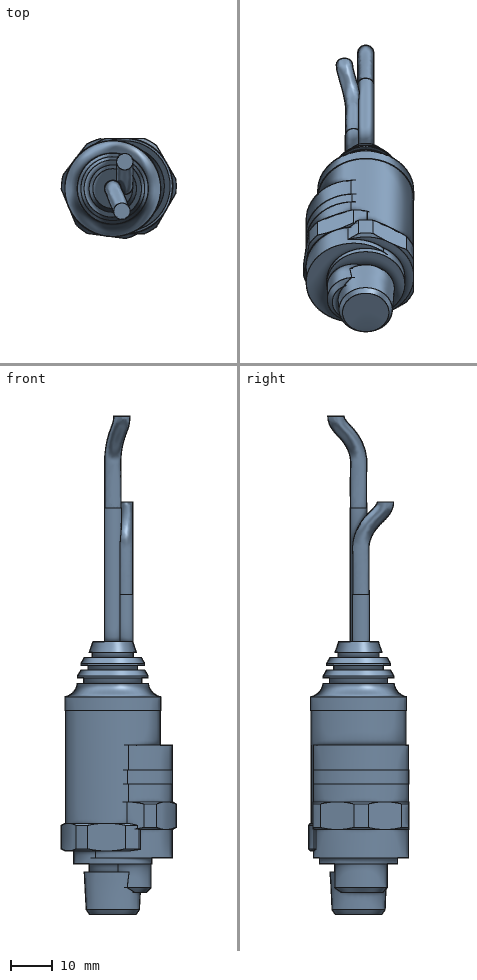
import cadquery as cq
import math

SHORT_X = 2.9
SHORT_Y = 0.6

HEX_FLATS = 23.0
HEX_ROUND = 24.8
HEX_HEIGHT = 6.6
HEX_CHAMFER = 0.5
HEX_CHAMFER_WIDTH = 0.8
TALL_HEX_ANGLE = 22.5
SHORT_HEX_ANGLE = 30.0

FOOT_CHAMFER_D = 11.1
FOOT_CHAMFER = 1.2
THREAD_FOOT_D = 12.8
THREAD_TOP_D = 13.8
THREAD_TOP = 10.3
NECK_D = 11.4
NECK_TOP = 12.2
FLANGE_D = 18.8
TALL_HEX_Z = 15.3
TALL_HOUSING_D = 22.9
TALL_HOUSING_TOP = 49.1

CAP_RING_D = 23.1
CAP_RING_TOP = 52.3
FLARE_MID_D = 18.7
FLARE_MID_Z = 53.7
FLARE_TOP_D = 17.1
FLARE_TOP = 55.6
LOWER_GROOVE_D = 14.0
LOWER_RIB_D = 17.0
LOWER_RIB_CREST_D = 15.3
LOWER_RIB_Z = 56.9
LOWER_RIB_TOP = 58.8
MIDDLE_GROOVE_D = 12.0
UPPER_RIB_D = 15.3
UPPER_RIB_CREST_D = 13.8
UPPER_RIB_Z = 59.9
UPPER_RIB_TOP = 61.8
RIB_EDGE = 0.5
UPPER_GROOVE_D = 10.0
TIP_FOOT_D = 11.4
TIP_TOP_D = 9.6
TIP_Z = 63.0
CAP_TOP = 65.6

SHORT_FOOT = 5.3
SHORT_FOOT_CHAMFER = 1.2
SHORT_SPIGOT_D = 12.7
SHORT_HOUSING_D = 22.9
SHORT_HOUSING_Z = 13.7
SHORT_HEX_Z = 20.5
SHORT_HOUSING_TOP = 31.4
SHORT_RING_D = 23.0
SHORT_RING_TOP = 34.7
SHORT_CAP_TOP = 40.7
SHORT_RIM_BORE_D = 21.8
SHORT_BORE_TOP_D = 19.0
SHORT_BORE_FOOT_D = 17.1

SHEATH_D = 4.1
LEAD_D = 4.0
BEND_RISE = 10.2
BEND_LEAD_IN = 3.0
BEND_MID_DROP = 4.3
BEND_SHIFT = 5.9
TALL_SHEATH_TOP = 97.7
TALL_CABLE_TOP = 119.8
TALL_BEND_DIRECTION = -68.0
SHORT_SHEATH_TOP = 76.9
SHORT_CABLE_TOP = 99.2
SHORT_BEND_DIRECTION = 90.0


def cylinder(diameter, bottom, top):
    return cq.Workplane("XY").workplane(offset=bottom).circle(diameter / 2).extrude(top - bottom)


def turned(profile):
    """Revolve a list of (diameter, z) points, closed along the axis, about Z."""
    points = [(diameter / 2, z) for diameter, z in profile]
    foot = (0, profile[0][1])
    tip = (0, profile[-1][1])
    return cq.Workplane("XZ").polyline([foot, *points, tip]).close().revolve(360, (0, 0), (0, 1))


def hex_collar(bottom, angle):
    """Hexagon with turned corners, chamfered at both ends."""
    top = bottom + HEX_HEIGHT
    end_diameter = HEX_ROUND - 2 * HEX_CHAMFER_WIDTH
    corner_angle = angle + 30
    blank = turned([
        (end_diameter, bottom),
        (HEX_ROUND, bottom + HEX_CHAMFER),
        (HEX_ROUND, top - HEX_CHAMFER),
        (end_diameter, top),
    ])
    prism = (
        cq.Workplane("XY").workplane(offset=bottom)
        .polygon(6, HEX_FLATS / math.cos(math.radians(30)))
        .extrude(HEX_HEIGHT)
        .rotate((0, 0, 0), (0, 0, 1), corner_angle)
    )
    return blank.intersect(prism)


def at_short_axis(body):
    return body.translate((SHORT_X, SHORT_Y, 0))


def make_tall_body():
    """Taper-threaded foot, flange, hexagon and housing of the tall sensor."""
    stem = turned([
        (FOOT_CHAMFER_D, 0),
        (THREAD_FOOT_D, FOOT_CHAMFER),
        (THREAD_TOP_D, THREAD_TOP),
        (NECK_D, THREAD_TOP),
        (NECK_D, NECK_TOP),
        (FLANGE_D, NECK_TOP),
        (FLANGE_D, TALL_HEX_Z),
        (TALL_HOUSING_D, TALL_HEX_Z + HEX_CHAMFER),
        (TALL_HOUSING_D, TALL_HOUSING_TOP),
    ])
    return stem.union(hex_collar(TALL_HEX_Z, TALL_HEX_ANGLE))


def make_tall_cap():
    """Ring, concave flare and the ribbed cable sleeve above it."""
    flare = (
        cq.Workplane("XZ")
        .moveTo(0, TALL_HOUSING_TOP)
        .lineTo(CAP_RING_D / 2, TALL_HOUSING_TOP)
        .lineTo(CAP_RING_D / 2, CAP_RING_TOP)
        .threePointArc((FLARE_MID_D / 2, FLARE_MID_Z), (FLARE_TOP_D / 2, FLARE_TOP))
        .lineTo(0, FLARE_TOP)
        .close()
        .revolve(360, (0, 0), (0, 1))
    )
    sleeve = turned([
        (LOWER_GROOVE_D, FLARE_TOP),
        (LOWER_GROOVE_D, LOWER_RIB_Z),
        (LOWER_RIB_D, LOWER_RIB_Z),
        (LOWER_RIB_D, LOWER_RIB_Z + RIB_EDGE),
        (LOWER_RIB_CREST_D, LOWER_RIB_TOP),
        (MIDDLE_GROOVE_D, LOWER_RIB_TOP),
        (MIDDLE_GROOVE_D, UPPER_RIB_Z),
        (UPPER_RIB_D, UPPER_RIB_Z),
        (UPPER_RIB_D, UPPER_RIB_Z + RIB_EDGE),
        (UPPER_RIB_CREST_D, UPPER_RIB_TOP),
        (UPPER_GROOVE_D, UPPER_RIB_TOP),
        (UPPER_GROOVE_D, TIP_Z),
        (TIP_FOOT_D, TIP_Z),
        (TIP_TOP_D, CAP_TOP),
    ])
    return flare.union(sleeve)


def make_short_body():
    """Plain spigot, housing and hexagon of the short sensor."""
    stem = turned([
        (SHORT_SPIGOT_D - 2 * SHORT_FOOT_CHAMFER, SHORT_FOOT),
        (SHORT_SPIGOT_D, SHORT_FOOT + SHORT_FOOT_CHAMFER),
        (SHORT_SPIGOT_D, SHORT_HOUSING_Z),
        (SHORT_HOUSING_D, SHORT_HOUSING_Z),
        (SHORT_HOUSING_D, SHORT_HOUSING_TOP),
    ])
    return at_short_axis(stem.union(hex_collar(SHORT_HEX_Z, SHORT_HEX_ANGLE)))


def make_short_cap():
    """Open sleeve with an outer ring and a stepped, tapered bore."""
    ring = cylinder(SHORT_RING_D, SHORT_HOUSING_TOP, SHORT_RING_TOP)
    crown = cylinder(SHORT_HOUSING_D, SHORT_RING_TOP, SHORT_CAP_TOP)
    bore = turned([
        (SHORT_BORE_FOOT_D, SHORT_HOUSING_TOP),
        (SHORT_BORE_TOP_D, SHORT_RING_TOP),
        (SHORT_RIM_BORE_D, SHORT_RING_TOP),
        (SHORT_RIM_BORE_D, SHORT_CAP_TOP),
    ])
    return at_short_axis(ring.union(crown).cut(bore))


def make_cable(sheath_top, cable_top, bend_direction):
    """Cable rising from the cap along Z, shifted sideways by an S-bend that ends upright."""
    path = (
        cq.Workplane("XZ")
        .spline(
            [
                (0, sheath_top),
                (0, cable_top - BEND_RISE - BEND_LEAD_IN),
                (0, cable_top - BEND_RISE),
                (BEND_SHIFT / 2, cable_top - BEND_MID_DROP),
                (BEND_SHIFT, cable_top),
            ],
            tangents=[(0, 1), (0, 1)],
        )
    )
    lead = cq.Workplane("XY").workplane(offset=sheath_top).circle(LEAD_D / 2).sweep(path)
    sheath = cylinder(SHEATH_D, CAP_TOP, sheath_top)
    return sheath.union(lead).rotate((0, 0, 0), (0, 0, 1), bend_direction)


short_body = make_short_body()
short_cap = make_short_cap()

tall_body = make_tall_body().cut(short_body).cut(short_cap)
tall_cap = make_tall_cap()

tall_cable = make_cable(TALL_SHEATH_TOP, TALL_CABLE_TOP, TALL_BEND_DIRECTION)
short_cable = at_short_axis(
    make_cable(SHORT_SHEATH_TOP, SHORT_CABLE_TOP, SHORT_BEND_DIRECTION)
).cut(tall_cable)

result = cq.Compound.makeCompound([
    tall_body.val(),
    tall_cap.val(),
    tall_cable.val(),
    short_body.val(),
    short_cap.val(),
    short_cable.val(),
])